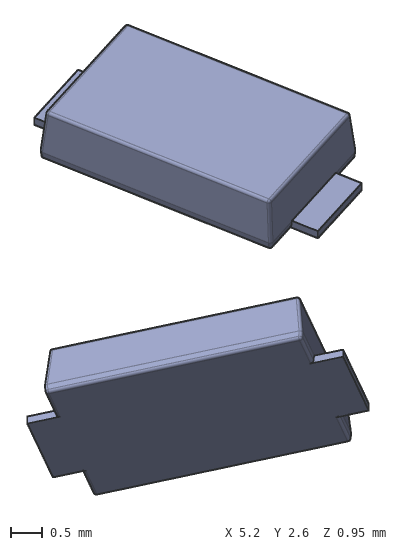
import cadquery as cq

overall_length = 5.2
body_length = 4.25
body_width = 2.6
body_height = 0.95

lead_thickness = 0.15
parting_height = lead_thickness
draft_angle = 5.0
edge_radius = 0.05

lead_width = 1.33


def drafted_block(height):
    """Block narrowing away from the parting line; a negative height goes down."""
    return (
        cq.Workplane("XY", origin=(0, 0, parting_height))
        .rect(body_length, body_width)
        .extrude(height, taper=draft_angle)
    )


def make_body():
    """Package body with every edge rounded except the parting line."""
    upper = drafted_block(body_height - parting_height)
    lower = drafted_block(-parting_height)
    body = upper.union(lower)
    parting_edges = upper.faces("<Z").edges()
    parting_centers = [edge.Center() for edge in parting_edges.vals()]
    rounded_edges = [
        edge
        for edge in body.edges().vals()
        if all((edge.Center() - center).Length > edge_radius / 2 for center in parting_centers)
    ]
    return body.newObject(rounded_edges).fillet(edge_radius)


def make_leads():
    """Flat strip through the body, forming both end leads."""
    return cq.Workplane("XY").box(
        overall_length, lead_width, lead_thickness, centered=(True, True, False)
    )


result = make_body().union(make_leads())